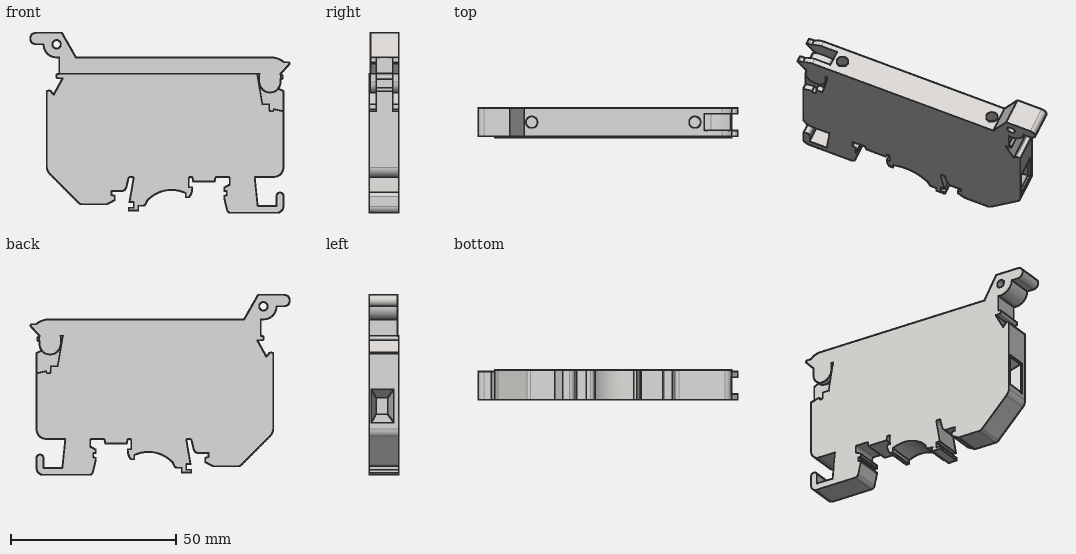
import cadquery as cq
import math


BODY_LENGTH = 71.6
THICKNESS = 9.0
BODY_TOP = 42.04
TOTAL_HEIGHT = 54.48
LID_INSET = 0.4
LEVER_TIP_X = -5.0
LATCH_TIP_X = 73.5
OVERSHOOT = 2.0

LID_LEFT = 3.8
LID_TOP = 47.0
LEVER_HEIGHT = 3.5
LEVER_RADIUS = LEVER_HEIGHT / 2
LEVER_UNDERSIDE = TOTAL_HEIGHT - LEVER_HEIGHT
HINGE_X = 3.0
HINGE_RADIUS = 4.0
PIVOT_HOLE_DIAMETER = 2.5
TEST_HOLE_DIAMETER = 3.5
TEST_HOLE_XS = (11.2, 60.5)
TONGUE_RADIUS = 3.2
TONGUE_X = 67.5
TONGUE_Z = 39.6

SLOT_LEFT = 63.35
SLOT_WIDTH = 5.0
LID_MIDDLE_Y = (THICKNESS + LID_INSET) / 2
SLOT_Y0 = LID_MIDDLE_Y - SLOT_WIDTH / 2
SLOT_Y1 = LID_MIDDLE_Y + SLOT_WIDTH / 2

LIP_LEFT = 2.85
LIP_UNDERSIDE = 40.7

RECESS_FLOOR = 32.8
RECESS_GROOVE_BOTTOM = 30.7
RECESS_GROOVE_LEFT = 67.3
RECESS_GROOVE_RIGHT = 68.65
RECESS_GROOVE_RADIUS = 0.6

FOOT_CEILING = 10.86
FOOT_FLOOR = 2.13
CHIN_Z = 2.6
HOOK_WIDTH = 2.15
HOOK_TOP = 6.2

FUNNEL_RIM_DEPTH = 0.7
FUNNEL_DEPTH = 4.7
FUNNEL_MOUTH_Y = (1.5, 8.3)
FUNNEL_MOUTH_Z = (15.75, 25.9)
FUNNEL_END_Y = (3.4, 6.9)
FUNNEL_END_Z = (18.4, 23.3)

ARC = "arc"


def corner_arc(before, corner, after, radius):
    """Start, middle and end of the arc that rounds a corner."""
    cx, cz = corner
    ux, uz = before[0] - cx, before[1] - cz
    vx, vz = after[0] - cx, after[1] - cz
    u_length, v_length = math.hypot(ux, uz), math.hypot(vx, vz)
    ux, uz, vx, vz = ux / u_length, uz / u_length, vx / v_length, vz / v_length
    half_angle = math.acos(ux * vx + uz * vz) / 2
    setback = radius / math.tan(half_angle)
    bx, bz = ux + vx, uz + vz
    b_length = math.hypot(bx, bz)
    to_middle = radius / math.sin(half_angle) - radius
    start = (cx + ux * setback, cz + uz * setback)
    middle = (cx + bx / b_length * to_middle, cz + bz / b_length * to_middle)
    end = (cx + vx * setback, cz + vz * setback)
    return start, middle, end


def plate(outline, y0, y1):
    """Plate between y0 and y1 with an XZ outline.

    Outline entries are (x, z), (x, z, corner radius) or (x, z, ARC); the first is a sharp corner.
    """
    places = [entry[:2] for entry in outline]
    sketch = cq.Workplane("XZ", origin=(0, y0, 0)).moveTo(*places[0])
    through = None
    for i in range(1, len(outline) + 1):
        place = places[i % len(outline)]
        detail = outline[i % len(outline)][2:]
        if detail == (ARC,):
            through = place
        elif through:
            sketch = sketch.threePointArc(through, place)
            through = None
        elif detail:
            start, middle, end = corner_arc(places[i - 1], place, places[(i + 1) % len(outline)], detail[0])
            sketch = sketch.lineTo(*start).threePointArc(middle, end)
        elif i < len(outline):
            sketch = sketch.lineTo(*place)
    return sketch.close().extrude(y0 - y1)


def body_plate():
    """Full-thickness body, outlined from the top left corner anticlockwise."""
    hook_left = BODY_LENGTH - HOOK_WIDTH
    hook_radius = HOOK_WIDTH / 2
    lip_radius = (BODY_TOP - LIP_UNDERSIDE) / 2
    left_flank = [
        (4.8, LIP_UNDERSIDE),
        (2.1, 35.8),
        (1.55, 36.4),
        (1.4, 36.65),
        (0.7, 37.05, ARC),
        (0, 36.65),
        (0, 12.75, 3.0),
    ]
    left_jaw = [
        (10.1, CHIN_Z, 1.5),
        (18.2, CHIN_Z),
        (20.6, 3.9),
        (20.6, 5.2, 0.3),
        (19.6, 5.5),
        (19.6, 6.6),
        (23.8, 6.6, 1.6),
        (24.85, FOOT_CEILING, 0.4),
        (26.3, FOOT_CEILING, 0.4),
        (25.0, 3.3),
        (26.26, 3.3),
        (26.26, 1.6),
        (24.8, 1.6),
        (24.8, 0.7),
        (27.7, 0.7),
        (27.7, FOOT_FLOOR),
    ]
    spring_saddle = [
        (29.7, FOOT_FLOOR, 1.2),
        (30.4, 3.73),
        (34.5, 6.4, ARC),
        (42.0, 6.0),
        (42.0, 4.7),
        (43.0, 4.7),
        (43.8, 6.1, ARC),
        (44.0, 7.8),
        (43.0, 7.8),
    ]
    rail_seat = [
        (43.0, FOOT_CEILING, 0.3),
        (44.0, FOOT_CEILING, 0.4),
        (44.3, 9.45),
        (50.8, 9.45),
        (51.06, FOOT_CEILING, 0.3),
        (55.3, FOOT_CEILING, 0.4),
        (55.3, 8.6),
        (53.6, 7.65),
        (53.6, 6.6),
        (54.4, 6.6),
        (54.4, 5.4),
        (53.6, 5.15),
        (53.6, 4.6),
    ]
    right_foot = [
        (54.7, 0, 1.2),
        (BODY_LENGTH, 0, 2.1),
        (BODY_LENGTH, HOOK_TOP - hook_radius),
        (BODY_LENGTH - hook_radius, HOOK_TOP, ARC),
        (hook_left, HOOK_TOP - hook_radius),
        (hook_left, FOOT_FLOOR),
        (63.8, FOOT_FLOOR),
        (62.9, FOOT_CEILING),
        (BODY_LENGTH, FOOT_CEILING, 3.0),
    ]
    right_flank = [
        (BODY_LENGTH, 36.85),
        (69.6, 37.8),
        (69.6, 40.4),
        (71.0, 40.4),
        (71.4, 41.05, ARC),
        (71.0, 41.75),
        (68.0, 42.27, ARC),
        (65.25, BODY_TOP),
    ]
    left_lip = [
        (LIP_LEFT + lip_radius, BODY_TOP),
        (LIP_LEFT, BODY_TOP - lip_radius, ARC),
        (LIP_LEFT + lip_radius, LIP_UNDERSIDE),
    ]
    outline = left_flank + left_jaw + spring_saddle + rail_seat + right_foot + right_flank + left_lip
    return plate(outline, 0, THICKNESS)


def arm_recess(y0, y1):
    """Pocket in one face of the body where a lid arm hangs down."""
    above = BODY_TOP + OVERSHOOT
    beyond = BODY_LENGTH + OVERSHOOT
    outline = [
        (63.6, above),
        (63.6, BODY_TOP),
        (65.2, RECESS_FLOOR),
        (RECESS_GROOVE_LEFT, RECESS_FLOOR),
        (RECESS_GROOVE_LEFT, RECESS_GROOVE_BOTTOM, RECESS_GROOVE_RADIUS),
        (RECESS_GROOVE_RIGHT, RECESS_GROOVE_BOTTOM, RECESS_GROOVE_RADIUS),
        (RECESS_GROOVE_RIGHT, 31.4),
        (BODY_LENGTH, RECESS_GROOVE_BOTTOM),
        (beyond, RECESS_GROOVE_BOTTOM),
        (beyond, above),
    ]
    return plate(outline, y0, y1)


def wire_funnel():
    """Rectangular funnel tapering into the left flank."""

    def section(y_range, z_range, x):
        y0, y1 = y_range
        z0, z1 = z_range
        corners = [(x, y0, z0), (x, y1, z0), (x, y1, z1), (x, y0, z1)]
        return cq.Wire.makePolygon([cq.Vector(*c) for c in corners], close=True)

    mouth = section(FUNNEL_MOUTH_Y, FUNNEL_MOUTH_Z, 0)
    rim = section(FUNNEL_MOUTH_Y, FUNNEL_MOUTH_Z, FUNNEL_RIM_DEPTH)
    end = section(FUNNEL_END_Y, FUNNEL_END_Z, FUNNEL_DEPTH)
    entry = cq.Solid.makeLoft([mouth, rim], True)
    taper = cq.Solid.makeLoft([rim, end], True)
    return cq.Workplane(entry.fuse(taper))


def lid():
    """Hinged lid with its lever, test holes and two latch arms."""
    diagonal = HINGE_RADIUS * math.sqrt(0.5)
    hinge_z = LEVER_UNDERSIDE
    outline = [
        (LID_LEFT, BODY_TOP),
        (LID_LEFT, LID_TOP),
        (HINGE_X, hinge_z - HINGE_RADIUS),
        (HINGE_X - diagonal, hinge_z - diagonal, ARC),
        (HINGE_X - HINGE_RADIUS, hinge_z),
        (LEVER_TIP_X + LEVER_RADIUS, LEVER_UNDERSIDE),
        (LEVER_TIP_X, LEVER_UNDERSIDE + LEVER_RADIUS, ARC),
        (LEVER_TIP_X + LEVER_RADIUS, TOTAL_HEIGHT),
        (4.6, TOTAL_HEIGHT),
        (8.88, LID_TOP),
        (68.6, LID_TOP),
        (70.3, 46.5, ARC),
        (71.7, 45.6),
        (72.8, 45.6),
        (73.3, 45.45, ARC),
        (LATCH_TIP_X, 45.1),
        (TONGUE_X + TONGUE_RADIUS, BODY_TOP),
        (TONGUE_X + TONGUE_RADIUS, TONGUE_Z),
        (TONGUE_X, TONGUE_Z - TONGUE_RADIUS, ARC),
        (TONGUE_X - TONGUE_RADIUS, TONGUE_Z),
        (TONGUE_X - TONGUE_RADIUS, BODY_TOP),
    ]
    solid = plate(outline, LID_INSET, THICKNESS)

    pivot = cq.Workplane("XZ").center(HINGE_X, hinge_z).circle(PIVOT_HOLE_DIAMETER / 2)
    solid = solid.cut(pivot.extrude(-THICKNESS))

    for x in TEST_HOLE_XS:
        test_hole = cq.Workplane("XY", origin=(x, LID_MIDDLE_Y, BODY_TOP)).circle(TEST_HOLE_DIAMETER / 2)
        solid = solid.cut(test_hole.extrude(LID_TOP + OVERSHOOT - BODY_TOP))

    slot_bottom = TONGUE_Z - TONGUE_RADIUS
    slot = cq.Workplane("XY").box(
        LATCH_TIP_X - SLOT_LEFT, SLOT_WIDTH, LID_TOP - slot_bottom, centered=False
    )
    return solid.cut(slot.translate((SLOT_LEFT, SLOT_Y0, slot_bottom)))


body = body_plate()
body = body.cut(arm_recess(0, SLOT_Y0)).cut(arm_recess(SLOT_Y1, THICKNESS))
body = body.cut(wire_funnel())
result = body.union(lid())